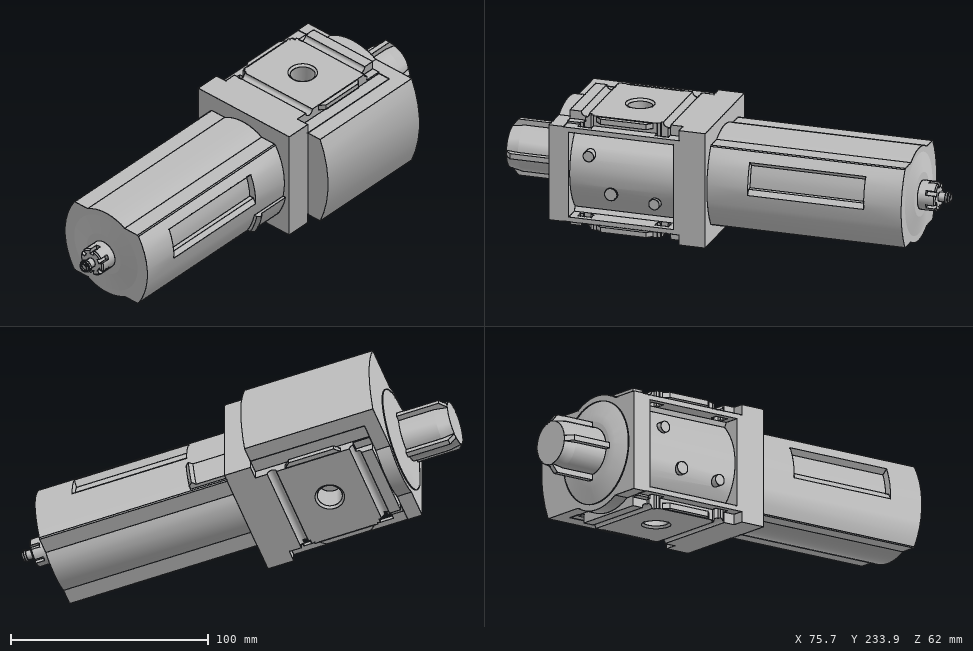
import cadquery as cq
import math


HALF_HEIGHT = 62.0 / 2
LEFT_X = -30.6
RIGHT_X = 31.3
FLANGE_LENGTH = 14.0
PANEL_END_Y = 75.8
HEADER_END_Y = 83.5
PANEL_HALF_WIDTH = 24.3
WING_HALF_HEIGHT = 25.5
HEADER_HALF_HEIGHT = 25.7
COLLAR_RADIUS = 30.0

COVER_EDGE_X = 39.7
COVER_CREST_X = 45.1

PORT_Y = 45.1
PORT_DIAMETER = 15.0
PORT_DEPTH = 14.0
PORT_CHAMFER = 1.2
GROOVE_DIAMETER = 5.0
GROOVE_YS = (23.0, 67.3)
NOTCH_INNER_X = 20.0
NOTCH_START_Y = 66.9
NOTCH_FLOOR_Z = 26.5
LUG_REACH = 2.5
LUG_BEVEL = 2.8
LUG_LENGTH = 30.0
LUG_BOTTOM_Z = 27.8
LUG_TOP_Z = 30.6

CLIP_YS = (24.3, 65.5)
CLIP_OUTER_X = -27.4
CLIP_STEP_X = -23.5
CLIP_INNER_X = -21.7
CLIP_WIDTH = 7.2
CLIP_NECK_WIDTH = 4.0

WINDOW_START_Y = 17.0
WINDOW_END_Y = 73.0
WINDOW_HALF_HEIGHT = 23.0
CORE_RADIUS = 29.0
CORE_HALF_HEIGHT = 20.5
CORE_LIP_X = -21.7
SMALL_PEG = (5.5, -30.0)
LARGE_PEG = (6.5, -29.2)
PEGS = ((62.7, 10.8, SMALL_PEG), (51.0, -8.7, LARGE_PEG), (27.5, -11.0, SMALL_PEG))

DOME_RADIUS = 26.7
DOME_TOP_RADIUS = 15.2
DOME_MID_RADIUS = 21.7
DOME_RIM_Y = 84.0
DOME_MID_Y = 85.8
KNOB_BASE_Y = 87.0
KNOB_END_Y = 113.0
KNOB_RADIUS = 12.5
KNOB_END_RADIUS = 11.2
KNOB_TAPER = 6.8
RIB_RADIUS = 15.2
RIB_END_RADIUS = 11.5
RIB_WIDTH = 2.8
RIB_BEVEL = 3.3
RIB_COUNT = 4

BOWL_LENGTH = 103.8
BOWL_FLAT_Z = 21.5
BOWL_FLAT_END_X = 21.3
BOWL_SIDE_END_X = 22.0
BOWL_SIDE_END_Z = 21.0
BOWL_SIDE_X = 28.0
BULGE_DIAMETER = 49.8
CONE_BASE_RADIUS = 21.5
CONE_TOP_RADIUS = 11.5
CONE_LENGTH = 1.6
SIGHT_START = 21.7
SIGHT_END = 83.7
SIGHT_TOP_Z = 16.0
SIGHT_BOTTOM_Z = -0.7
SIGHT_FLOOR_TOP_Z = 13.3
SIGHT_FLOOR_BOTTOM_Z = 2.0
SIGHT_LEDGE_X = 26.5
SIGHT_DEPTH = 4.0

LATCH_TOP_Z = -8.5
LATCH_BOTTOM_Z = -20.3
LATCH_THICKNESS = 1.6
LATCH_LENGTH = 21.7
RIDGE_THICKNESS = 3.3
RIDGE_WIDTH = 3.7

DRAIN_DIAMETER = 15.0
DRAIN_END = 114.8
DRAIN_SLOT_START = 109.7
DRAIN_SLOT_WIDTH = 2.3
DRAIN_SLOT_INNER_DIAMETER = 10.0
DRAIN_SLOT_COUNT = 6
DRAIN_CHAMFER = 0.7
STEM_DIAMETER = 5.0
STEM_END = 120.9
STEM_BORE = 3.7
STEM_BORE_DEPTH = 1.0
STEM_RING_DIAMETER = 6.3
STEM_RING_START = 118.5
STEM_RING_WIDTH = 1.2


def block(x0, x1, y0, y1, z0, z1):
    """Box between two opposite corners."""
    return cq.Workplane("XY").box(x1 - x0, y1 - y0, z1 - z0, centered=False).translate((x0, y0, z0))


def section(y):
    """Sketch plane across the axis at y; positive extrusion runs toward -Y."""
    return cq.Workplane("XZ", origin=(0, y, 0))


def disc(diameter, y_back, y_front):
    """Cylinder on the axis from y_back down to y_front."""
    return section(y_back).circle(diameter / 2).extrude(y_back - y_front)


def both_panels(feature):
    """The feature on the upper panel and its mirror image on the lower one."""
    return feature.union(feature.mirror("XY"))


def housing_block():
    flange = block(LEFT_X, RIGHT_X, 0, FLANGE_LENGTH, -HALF_HEIGHT, HALF_HEIGHT)
    panels = block(-PANEL_HALF_WIDTH, PANEL_HALF_WIDTH, FLANGE_LENGTH, PANEL_END_Y, -HALF_HEIGHT, HALF_HEIGHT)
    wings = block(LEFT_X, RIGHT_X, FLANGE_LENGTH, PANEL_END_Y, -WING_HALF_HEIGHT, WING_HALF_HEIGHT)
    header = block(LEFT_X, RIGHT_X, PANEL_END_Y, HEADER_END_Y, -HEADER_HALF_HEIGHT, HEADER_HALF_HEIGHT)
    collar = disc(2 * COLLAR_RADIUS, HEADER_END_Y, PANEL_END_Y)
    return flange.union(panels).union(wings).union(header).union(collar)


def gauge_cover():
    return (
        section(HEADER_END_Y)
        .moveTo(RIGHT_X, -HEADER_HALF_HEIGHT)
        .lineTo(COVER_EDGE_X, -HEADER_HALF_HEIGHT)
        .threePointArc((COVER_CREST_X, 0), (COVER_EDGE_X, HEADER_HALF_HEIGHT))
        .lineTo(RIGHT_X, HEADER_HALF_HEIGHT)
        .close()
        .extrude(HEADER_END_Y - FLANGE_LENGTH)
    )


def panel_lugs():
    """Bevelled lugs on both side walls of the upper panel."""
    half_root = LUG_LENGTH / 2
    half_tip = half_root - LUG_BEVEL
    tip_x = PANEL_HALF_WIDTH + LUG_REACH
    outline = [
        (-PANEL_HALF_WIDTH, PORT_Y - half_root),
        (PANEL_HALF_WIDTH, PORT_Y - half_root),
        (tip_x, PORT_Y - half_tip),
        (tip_x, PORT_Y + half_tip),
        (PANEL_HALF_WIDTH, PORT_Y + half_root),
        (-PANEL_HALF_WIDTH, PORT_Y + half_root),
        (-tip_x, PORT_Y + half_tip),
        (-tip_x, PORT_Y - half_tip),
    ]
    height = LUG_TOP_Z - LUG_BOTTOM_Z
    return cq.Workplane("XY", origin=(0, 0, LUG_BOTTOM_Z)).polyline(outline).close().extrude(height)


def panel_cuts():
    """Port, cross grooves and corner notches of the upper panel."""
    radius = PORT_DIAMETER / 2
    cuts = (
        cq.Workplane("XY")
        .moveTo(0, HALF_HEIGHT)
        .lineTo(radius, HALF_HEIGHT)
        .lineTo(radius - PORT_CHAMFER, HALF_HEIGHT - PORT_CHAMFER)
        .lineTo(radius - PORT_CHAMFER, HALF_HEIGHT - PORT_DEPTH)
        .lineTo(0, HALF_HEIGHT - PORT_DEPTH)
        .close()
        .revolve(360, (0, 0, 0), (0, 1, 0))
        .rotate((0, 0, 0), (1, 0, 0), 90)
        .translate((0, PORT_Y, 0))
    )
    for y in GROOVE_YS:
        groove = cq.Workplane("YZ", origin=(-PANEL_HALF_WIDTH, y, HALF_HEIGHT)).circle(GROOVE_DIAMETER / 2)
        cuts = cuts.union(groove.extrude(2 * PANEL_HALF_WIDTH))
    for x in (-PANEL_HALF_WIDTH, NOTCH_INNER_X):
        width = PANEL_HALF_WIDTH - NOTCH_INNER_X
        cuts = cuts.union(block(x, x + width, NOTCH_START_Y, PANEL_END_Y, NOTCH_FLOOR_Z, HALF_HEIGHT))
    return cuts


def clip_slots():
    """Stepped slots that open through the upper -X wing into the window."""
    slots = cq.Workplane("XY")
    for y in CLIP_YS:
        for inner_x, width in ((CLIP_STEP_X, CLIP_WIDTH), (CLIP_INNER_X, CLIP_NECK_WIDTH)):
            slot = block(CLIP_OUTER_X, inner_x, y - width / 2, y + width / 2, WINDOW_HALF_HEIGHT, HALF_HEIGHT)
            slots = slots.union(slot)
    return slots


def side_window():
    """Recess in the -X side whose floor is the round core, with pegs standing on it."""
    core_edge_x = -math.sqrt(CORE_RADIUS ** 2 - CORE_HALF_HEIGHT ** 2)
    window = (
        section(WINDOW_END_Y)
        .moveTo(LEFT_X, -WINDOW_HALF_HEIGHT)
        .lineTo(CORE_LIP_X, -WINDOW_HALF_HEIGHT)
        .lineTo(core_edge_x, -CORE_HALF_HEIGHT)
        .threePointArc((-CORE_RADIUS, 0), (core_edge_x, CORE_HALF_HEIGHT))
        .lineTo(CORE_LIP_X, WINDOW_HALF_HEIGHT)
        .lineTo(LEFT_X, WINDOW_HALF_HEIGHT)
        .close()
        .extrude(WINDOW_END_Y - WINDOW_START_Y)
    )
    for y, z, (diameter, end_x) in PEGS:
        peg = cq.Workplane("YZ", origin=(end_x, y, z)).circle(diameter / 2)
        window = window.cut(peg.extrude(-end_x))
    return window


def dome_and_knob():
    knob = (
        cq.Workplane("XY")
        .moveTo(0, PANEL_END_Y)
        .lineTo(DOME_RADIUS, PANEL_END_Y)
        .lineTo(DOME_RADIUS, DOME_RIM_Y)
        .threePointArc((DOME_MID_RADIUS, DOME_MID_Y), (DOME_TOP_RADIUS, KNOB_BASE_Y))
        .lineTo(KNOB_RADIUS, KNOB_BASE_Y)
        .lineTo(KNOB_RADIUS, KNOB_END_Y - KNOB_TAPER)
        .lineTo(KNOB_END_RADIUS, KNOB_END_Y)
        .lineTo(0, KNOB_END_Y)
        .close()
        .revolve(360, (0, 0, 0), (0, 1, 0))
    )
    rib = (
        cq.Workplane("XY")
        .moveTo(0, KNOB_BASE_Y)
        .lineTo(RIB_RADIUS, KNOB_BASE_Y)
        .lineTo(RIB_RADIUS, KNOB_END_Y - RIB_BEVEL)
        .lineTo(RIB_END_RADIUS, KNOB_END_Y)
        .lineTo(0, KNOB_END_Y)
        .close()
        .extrude(RIB_WIDTH / 2, both=True)
    )
    for i in range(RIB_COUNT):
        knob = knob.union(rib.rotate((0, 0, 0), (0, 1, 0), i * 360 / RIB_COUNT))
    return knob


def make_housing():
    body = housing_block().union(gauge_cover()).union(both_panels(panel_lugs()))
    body = body.cut(both_panels(panel_cuts())).cut(side_window()).cut(both_panels(clip_slots()))
    return body.union(dome_and_knob())


def side_radius():
    """Radius of the curved sides, from their crest and their ends."""
    sag = BOWL_SIDE_X - BOWL_SIDE_END_X
    return (BOWL_SIDE_END_Z ** 2 + sag ** 2) / (2 * sag)


def bowl_side_x(z):
    """X of the curved +X side of the bowl at height z."""
    return BOWL_SIDE_X - side_radius() + math.sqrt(side_radius() ** 2 - z ** 2)


def barrel():
    sides = (
        section(0)
        .moveTo(-BOWL_FLAT_END_X, -BOWL_FLAT_Z)
        .lineTo(BOWL_FLAT_END_X, -BOWL_FLAT_Z)
        .lineTo(BOWL_SIDE_END_X, -BOWL_SIDE_END_Z)
        .threePointArc((BOWL_SIDE_X, 0), (BOWL_SIDE_END_X, BOWL_SIDE_END_Z))
        .lineTo(BOWL_FLAT_END_X, BOWL_FLAT_Z)
        .lineTo(-BOWL_FLAT_END_X, BOWL_FLAT_Z)
        .lineTo(-BOWL_SIDE_END_X, BOWL_SIDE_END_Z)
        .threePointArc((-BOWL_SIDE_X, 0), (-BOWL_SIDE_END_X, -BOWL_SIDE_END_Z))
        .close()
        .extrude(BOWL_LENGTH)
    )
    cone = (
        section(-BOWL_LENGTH)
        .circle(CONE_BASE_RADIUS)
        .workplane(offset=CONE_LENGTH)
        .circle(CONE_TOP_RADIUS)
        .loft()
    )
    return sides.union(disc(BULGE_DIAMETER, 0, -BOWL_LENGTH)).union(cone)


def sight_recess():
    """Sight recess in the +X side: sloping long edges and a floor parallel to the side."""
    floor_mid_z = (SIGHT_FLOOR_TOP_Z + SIGHT_FLOOR_BOTTOM_Z) / 2
    floor = [
        (bowl_side_x(z) - SIGHT_DEPTH, z)
        for z in (SIGHT_FLOOR_BOTTOM_Z, floor_mid_z, SIGHT_FLOOR_TOP_Z)
    ]
    return (
        section(-SIGHT_START)
        .moveTo(BOWL_SIDE_X, SIGHT_BOTTOM_Z)
        .lineTo(SIGHT_LEDGE_X, SIGHT_FLOOR_BOTTOM_Z)
        .lineTo(*floor[0])
        .threePointArc(floor[1], floor[2])
        .lineTo(bowl_side_x(SIGHT_TOP_Z), SIGHT_TOP_Z)
        .lineTo(BOWL_SIDE_X, SIGHT_TOP_Z)
        .close()
        .extrude(SIGHT_END - SIGHT_START)
    )


def latch():
    """Slide on the lower part of the +X side, curved with it, with a wedge ridge at its end."""
    outer_x = BOWL_SIDE_X + LATCH_THICKNESS
    center_x = BOWL_SIDE_X - side_radius()
    ring = (
        cq.Workplane("XY")
        .moveTo(BOWL_FLAT_END_X, 0)
        .lineTo(outer_x, 0)
        .lineTo(outer_x, RIDGE_WIDTH - LATCH_LENGTH)
        .lineTo(BOWL_SIDE_X + RIDGE_THICKNESS, RIDGE_WIDTH / 2 - LATCH_LENGTH)
        .lineTo(outer_x, -LATCH_LENGTH)
        .lineTo(BOWL_FLAT_END_X, -LATCH_LENGTH)
        .close()
        .revolve(360, (center_x, 0, 0), (center_x, 1, 0))
    )
    return ring.intersect(block(0, RIGHT_X, -LATCH_LENGTH, 0, LATCH_BOTTOM_Z, LATCH_TOP_Z))


def drain():
    sleeve = disc(DRAIN_DIAMETER, -BOWL_LENGTH, -DRAIN_END).faces("<Y").chamfer(DRAIN_CHAMFER)
    inner_radius = DRAIN_SLOT_INNER_DIAMETER / 2
    half_width = DRAIN_SLOT_WIDTH / 2
    slot = block(-half_width, half_width, -DRAIN_END, -DRAIN_SLOT_START, inner_radius, DRAIN_DIAMETER)
    for i in range(DRAIN_SLOT_COUNT):
        sleeve = sleeve.cut(slot.rotate((0, 0, 0), (0, 1, 0), i * 360 / DRAIN_SLOT_COUNT))
    stem = disc(STEM_DIAMETER, -BOWL_LENGTH, -STEM_END)
    ring = disc(STEM_RING_DIAMETER, -STEM_RING_START, -STEM_RING_START - STEM_RING_WIDTH)
    bore = disc(STEM_BORE, -STEM_END + STEM_BORE_DEPTH, -STEM_END)
    return sleeve.union(stem).union(ring).cut(bore)


def make_bowl():
    recess = sight_recess()
    body = barrel().cut(recess).cut(recess.mirror("YZ"))
    return body.union(latch()).union(drain())


housing = make_housing()
bowl = make_bowl()

result = cq.Compound.makeCompound([housing.val(), bowl.val()])